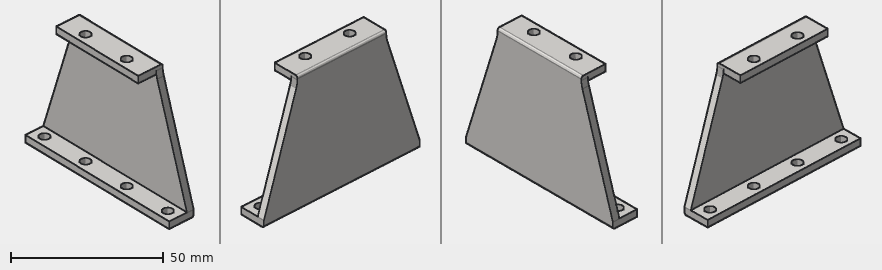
import cadquery as cq

length = 70.0
depth = 11.0
height = 53.0
thickness = 3.0

top_length = 40.0
corner_radius = 1.0
neck_radius = 10.0
hole_diameter = 4.0
hole_pitch = 20.0
hole_setback = 4.0

web_front = depth - thickness
web_bottom = thickness
web_top = height - thickness


def make_flange(flange_length, bottom, hole_count):
    """Flat bar reaching from the free edge to the back, with a row of holes."""
    bar = cq.Workplane("XY").box(flange_length, depth, thickness, centered=(True, False, False))
    holes = (
        cq.Workplane("XY")
        .center(0, hole_setback)
        .rarray(hole_pitch, 0.7, hole_count, 1)
        .circle(hole_diameter / 2)
        .extrude(thickness)
    )
    return bar.cut(holes).translate((0, 0, bottom))


def make_web():
    """Tapered upright plate whose sloping sides blend into the upright top ends."""
    plate = (
        cq.Workplane("XZ", origin=(0, depth, 0))
        .moveTo(-length / 2, 0)
        .lineTo(length / 2, 0)
        .lineTo(length / 2, web_bottom)
        .lineTo(top_length / 2, web_top)
        .lineTo(top_length / 2, height)
        .lineTo(-top_length / 2, height)
        .lineTo(-top_length / 2, web_top)
        .lineTo(-length / 2, web_bottom)
        .close()
        .extrude(thickness)
    )
    for side in (-1, 1):
        neck = cq.NearestToPointSelector((side * top_length / 2, web_front + thickness / 2, web_top))
        plate = plate.edges("|Y").edges(neck).fillet(neck_radius)
    return plate


bottom_flange = make_flange(length, 0, hole_count=4)
top_flange = make_flange(top_length, web_top, hole_count=2)
bracket = make_web().union(bottom_flange).union(top_flange)

back_corners = bracket.faces(">Y").edges("<Z or >Z")
result = back_corners.fillet(corner_radius)